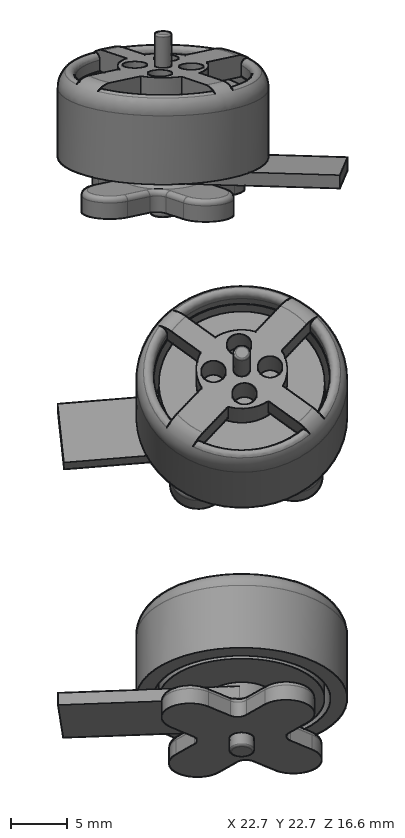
import cadquery as cq
import math


overall_size = 22.73

bell_radius = 9.3
bell_bottom = 4.0
bell_height = 8.3
bell_top = bell_bottom + bell_height
bell_round = 2.0
bell_bore_radius = 7.82

spoke_thickness = bell_round
spoke_bottom = bell_top - spoke_thickness
spoke_width_along_x = 2.0
spoke_width_along_y = 3.0
window_radius = 7.75
window_lip_round = 0.55
hub_radius = 4.0
hub_depth = 2.5
hub_hole_radius = 1.1
hub_hole_circle_radius = 2.5
hub_hole_count = 4

stator_radius = bell_radius - bell_round
stator_top = bell_top - hub_depth

arm_thickness = 2.0
arm_half_width = 2.5
arm_end_center = 6.0
arm_inner_round = 1.0
arm_top_round = 0.5
collar_radius = 3.0
collar_foot_round = 0.5

shaft_radius = 0.75
shaft_height = 3.0
stub_radius = 1.1
stub_length = 1.3
tip_round = 0.18

plate_angle = 45
plate_width = 2 * collar_radius
plate_bottom = 2.39
plate_thickness = 1.23
plate_length = (overall_size - bell_radius) * math.sqrt(2) - plate_width / 2

diagonal_angles = (45, 135, 225, 315)


def level(height):
    """Horizontal workplane at the given height."""
    return cq.Workplane("XY").workplane(offset=height)


def cylinder(radius, bottom, top):
    """Cylinder on the motor axis between two heights."""
    return level(bottom).circle(radius).extrude(top - bottom)


def make_windows():
    """The four openings left between the spokes and the hub."""
    spoke_x = level(spoke_bottom).rect(2 * bell_radius, spoke_width_along_x).extrude(spoke_thickness)
    spoke_y = level(spoke_bottom).rect(spoke_width_along_y, 2 * bell_radius).extrude(spoke_thickness)
    hub = cylinder(hub_radius, spoke_bottom, bell_top)
    opening = cylinder(window_radius, spoke_bottom, bell_top)
    return opening.cut(spoke_x).cut(spoke_y).cut(hub)


def make_bell():
    """Hollow can with a rounded shoulder, a spoked top, and a hub with holes."""
    bell = cylinder(bell_radius, bell_bottom, bell_top)
    bell = bell.faces(">Z").edges().fillet(bell_round)
    bell = bell.cut(cylinder(bell_bore_radius, bell_bottom, spoke_bottom))
    bell = bell.cut(make_windows())

    for angle in diagonal_angles:
        direction = math.radians(angle)
        lip_point = (window_radius * math.cos(direction), window_radius * math.sin(direction), bell_top)
        bell = bell.edges(cq.selectors.NearestToPointSelector(lip_point)).fillet(window_lip_round)

    bell = bell.union(cylinder(hub_radius, stator_top, bell_top))
    holes = (
        level(stator_top)
        .polarArray(hub_hole_circle_radius, diagonal_angles[0], 360, hub_hole_count)
        .circle(hub_hole_radius)
        .extrude(hub_depth)
    )
    return bell.cut(holes)


def make_arms():
    """Cross of two round-ended bars with rounded inner corners and top edges."""
    bar = cq.Workplane("XY").slot2D(2 * (arm_end_center + arm_half_width), 2 * arm_half_width)
    bar = bar.extrude(arm_thickness)
    arms = bar.union(bar.rotate((0, 0, 0), (0, 0, 1), 90))

    reach = (arm_half_width + arm_end_center) / 2
    inner_corners = cq.selectors.BoxSelector((-reach, -reach, 0), (reach, reach, arm_thickness))
    arms = arms.edges("|Z").edges(inner_corners).fillet(arm_inner_round)
    return arms.faces(">Z").edges().fillet(arm_top_round)


def make_collar():
    """Central post from the arms to the stator, with a concave flared foot."""
    foot_top = arm_thickness + collar_foot_round
    foot = (
        cq.Workplane("XZ")
        .moveTo(0, arm_thickness)
        .lineTo(collar_radius + collar_foot_round, arm_thickness)
        .radiusArc((collar_radius, foot_top), collar_foot_round)
        .lineTo(0, foot_top)
        .close()
        .revolve(360, (0, 0, 0), (0, 1, 0))
    )
    return foot.union(cylinder(collar_radius, 0, bell_bottom))


def make_lead_plate():
    """Flat rectangular plate carrying the leads."""
    plate = level(plate_bottom).box(
        plate_length, plate_width, plate_thickness, centered=(False, True, False)
    )
    return plate.rotate((0, 0, 0), (0, 0, 1), plate_angle)


def make_shaft():
    """Output shaft with a rounded tip."""
    shaft = cylinder(shaft_radius, stator_top, bell_top + shaft_height)
    return shaft.faces(">Z").edges().fillet(tip_round)


def make_stub():
    """Shaft end below the arms with a rounded tip."""
    stub = cylinder(stub_radius, -stub_length, arm_thickness)
    return stub.faces("<Z").edges().fillet(tip_round)


stator = cylinder(stator_radius, bell_bottom, stator_top)

result = (
    make_arms()
    .union(make_collar())
    .union(stator)
    .union(make_bell())
    .union(make_stub())
    .union(make_lead_plate())
    .union(make_shaft())
)